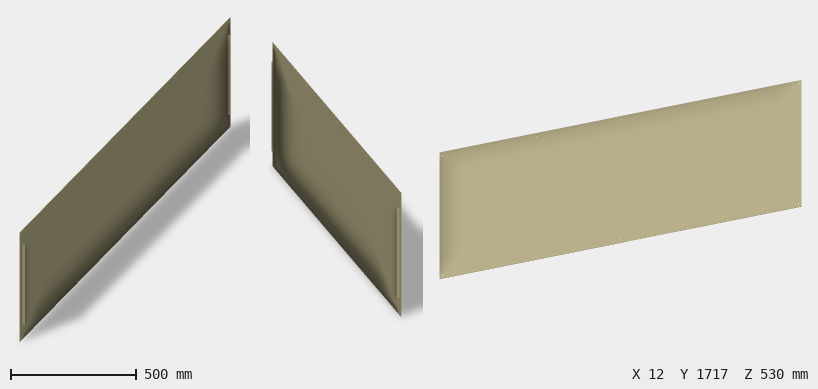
import cadquery as cq

panel_length = 1717.0
panel_height = 530.0
sheet_thickness = 2.0
overall_depth = 12.0

flange_end_inset = 21.0
flange_height_inset = 72.5

hole_diameter = 6.0
hole_edge_distance = 15.0
inner_hole_pitch = 400.0

flange_height = panel_height - 2 * flange_height_inset
flange_offset = panel_length / 2 - flange_end_inset - sheet_thickness / 2
end_hole_offset = panel_length / 2 - hole_edge_distance
hole_row_offset = panel_height / 2 - hole_edge_distance


def make_panel():
    """Rectangular sheet with its front face at X = 0."""
    return cq.Workplane("XY").box(
        sheet_thickness, panel_length, panel_height, centered=(False, True, True)
    )


def make_flange(y_center):
    """Upright strip reaching from the front face to the full depth."""
    strip = cq.Workplane("XY").box(
        overall_depth, sheet_thickness, flange_height, centered=(False, True, True)
    )
    return strip.translate((0, y_center, 0))


def make_hole_cutters():
    """Round cutters for the two rows of holes through the panel."""
    y_positions = [-end_hole_offset, -inner_hole_pitch, 0, inner_hole_pitch, end_hole_offset]
    centers = [(y, z) for y in y_positions for z in (-hole_row_offset, hole_row_offset)]
    return cq.Workplane("YZ").pushPoints(centers).circle(hole_diameter / 2).extrude(sheet_thickness)


result = make_panel()
for side in (-1, 1):
    result = result.union(make_flange(side * flange_offset))
result = result.cut(make_hole_cutters())